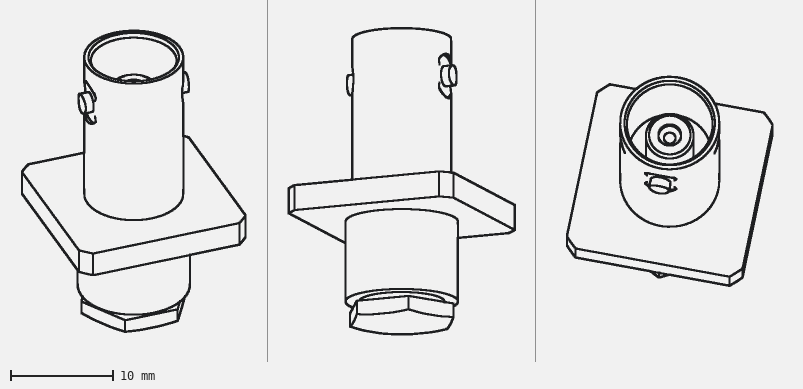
import cadquery as cq
import math

total_height = 28.5
nut_top = 1.5
neck_top = 2.2
flange_bottom = 10.2
flange_thickness = 2.5
flange_top = flange_bottom + flange_thickness

flange_width = 17.5
flange_corner_radius = 11.63
housing_radius = 5.5
neck_radius = 4.15
barrel_radius = 4.85

nut_across_flats = 9.52
nut_across_corners = nut_across_flats / math.cos(math.radians(30))
nut_chamfer_radius = 4.85
nut_chamfer_height = 0.17

pin_height = 24.37
pin_radius = 1.0
pin_trim = 0.28
groove_half_width = 1.3
groove_depth = 0.1
recess_floor = 4.6
recess_floor_radius = 2.08
recess_rim_radius = 2.2

socket_mouth_radius = 4.42
socket_chamfer_depth = 0.4
socket_upper_radius = 4.2
socket_lower_radius = 4.08
socket_floor = 20.1

insulator_radius = 2.35
insulator_top = 25.2
insulator_chamfer = 0.3
contact_hole_radius = 1.1
contact_depth = 0.43
contact_bore_radius = 0.57
contact_bore_depth = 3.42
contact_lip_radius = 0.3
contact_cone_angle = 45.0


def cylinder(radius, bottom, top):
    return cq.Workplane("XY").workplane(offset=bottom).circle(radius).extrude(top - bottom)


def revolve_profile(profile):
    """Turn a closed radius-height profile about the Z axis."""
    return profile.close().revolve(360, (0, 0, 0), (0, 1, 0))


def make_nut():
    hexagon = cq.Workplane("XY").polygon(6, nut_across_corners).extrude(nut_top)
    hexagon = hexagon.rotate((0, 0, 0), (0, 0, 1), 90)
    corner_radius = nut_across_corners / 2
    chamfered_blank = revolve_profile(
        cq.Workplane("XZ")
        .lineTo(nut_chamfer_radius, 0)
        .lineTo(corner_radius, nut_chamfer_height)
        .lineTo(corner_radius, nut_top)
        .lineTo(0, nut_top)
    )
    return hexagon.intersect(chamfered_blank)


def make_flange():
    square = (
        cq.Workplane("XY")
        .workplane(offset=flange_bottom)
        .rect(flange_width, flange_width)
        .extrude(flange_thickness)
    )
    return square.intersect(cylinder(flange_corner_radius, flange_bottom, flange_top))


def make_barrel():
    """Cylinder with a shallow concave groove around it at pin height."""
    return revolve_profile(
        cq.Workplane("XZ")
        .moveTo(0, flange_top)
        .lineTo(barrel_radius, flange_top)
        .lineTo(barrel_radius, pin_height - groove_half_width)
        .threePointArc(
            (barrel_radius - groove_depth, pin_height),
            (barrel_radius, pin_height + groove_half_width),
        )
        .lineTo(barrel_radius, total_height)
        .lineTo(0, total_height)
    )


def make_recess(side):
    """Flat-floored pocket around one pin, flaring outward to the barrel surface."""
    direction = cq.Vector(0, side, 0)
    floor_center = cq.Vector(0, side * recess_floor, pin_height)
    depth = barrel_radius - recess_floor
    cone = cq.Solid.makeCone(recess_floor_radius, recess_rim_radius, depth, floor_center, direction)
    return cq.Workplane(cone)


def make_pins():
    """Cross pin whose two ends follow the housing radius."""
    rod = (
        cq.Workplane("XZ")
        .center(0, pin_height)
        .circle(pin_radius)
        .extrude(housing_radius + pin_trim, both=True)
    )
    return rod.intersect(cylinder(housing_radius, flange_top, total_height))


def make_socket():
    chamfer_bottom = total_height - socket_chamfer_depth
    return revolve_profile(
        cq.Workplane("XZ")
        .moveTo(0, socket_floor)
        .lineTo(socket_lower_radius, socket_floor)
        .lineTo(socket_upper_radius, chamfer_bottom)
        .lineTo(socket_mouth_radius, total_height)
        .lineTo(0, total_height)
    )


def make_insulator():
    return cylinder(insulator_radius, socket_floor, insulator_top).faces(">Z").chamfer(insulator_chamfer)


def make_contact_hole():
    """Stepped hole whose lower bore opens through a cone with a rounded lip."""
    cone_angle = math.radians(contact_cone_angle)
    lip_top = insulator_top - contact_depth
    cone_top_radius = contact_hole_radius - contact_lip_radius * math.sin(cone_angle)
    cone_top = lip_top - contact_lip_radius * (1 - math.cos(cone_angle))
    cone_bottom = cone_top - (cone_top_radius - contact_bore_radius) * math.tan(cone_angle)
    bore_bottom = lip_top - contact_bore_depth
    return revolve_profile(
        cq.Workplane("XZ")
        .moveTo(0, bore_bottom)
        .lineTo(contact_bore_radius, bore_bottom)
        .lineTo(contact_bore_radius, cone_bottom)
        .lineTo(cone_top_radius, cone_top)
        .tangentArcPoint((contact_hole_radius, lip_top), relative=False)
        .lineTo(contact_hole_radius, insulator_top)
        .lineTo(0, insulator_top)
    )


barrel = make_barrel()
for side in (-1, 1):
    barrel = barrel.cut(make_recess(side))
barrel = barrel.union(make_pins())
barrel = barrel.cut(make_socket())
barrel = barrel.union(make_insulator()).cut(make_contact_hole())

result = make_nut()
result = result.union(cylinder(neck_radius, nut_top, neck_top))
result = result.union(cylinder(housing_radius, neck_top, flange_bottom))
result = result.union(make_flange())
result = result.union(barrel)